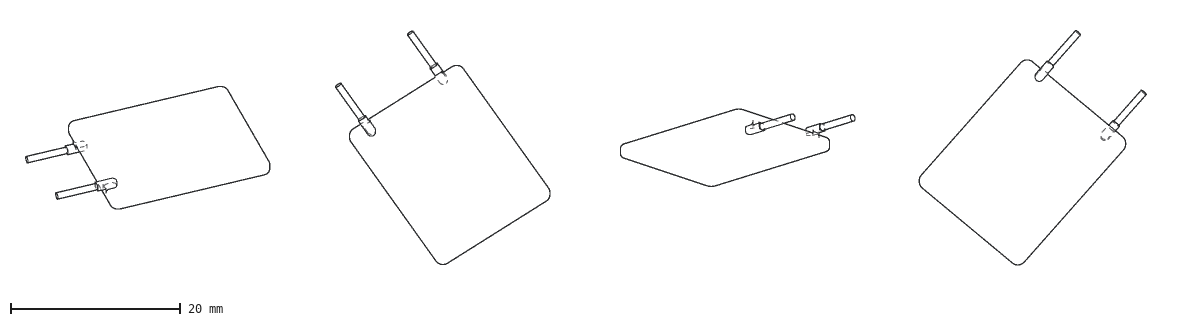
import cadquery as cq

body_width = 16.0
body_length = 20.0
body_thickness = 1.6
body_corner_radius = 1.0
body_edge_radius = 0.5

lead_diameter = 0.8
lead_pitch = 10.2
lead_reach = 6.0

sleeve_width = 1.0
sleeve_edge_radius = 0.2
sleeve_overlap = 1.5
sleeve_reach = 1.0

body_front_y = -body_length / 2
body_top_z = body_thickness / 2
lead_radius = lead_diameter / 2
lead_axis_z = body_top_z + lead_radius
sleeve_height = lead_diameter
sleeve_end_y = body_front_y - sleeve_reach
sleeve_length = sleeve_overlap + sleeve_reach


def make_body():
    slab = cq.Workplane("XY").box(body_width, body_length, body_thickness)
    slab = slab.edges("|Z").fillet(body_corner_radius)
    return slab.faces("<Z or >Z").edges().fillet(body_edge_radius)


def round_ended_bar(start_y, length, bottom_z, height):
    """Bar along +Y with a square end at start_y and a half-round far end."""
    half_width = sleeve_width / 2
    arc_start_y = start_y + length - half_width
    return (
        cq.Workplane("XY", origin=(0, 0, bottom_z))
        .moveTo(-half_width, start_y)
        .lineTo(half_width, start_y)
        .lineTo(half_width, arc_start_y)
        .threePointArc((0, start_y + length), (-half_width, arc_start_y))
        .close()
        .extrude(height)
    )


def make_sleeve():
    """Rounded bar around the lead root, with a foot sunk into the body."""
    bar = round_ended_bar(sleeve_end_y, sleeve_length, body_top_z, sleeve_height)
    bar = bar.faces("<Z or >Z").edges("not(<Y)").fillet(sleeve_edge_radius)
    foot_height = body_top_z + sleeve_edge_radius
    foot = round_ended_bar(body_front_y, sleeve_overlap, 0, foot_height)
    return bar.union(foot)


def make_lead():
    """Round wire from the body edge to the tip, its root inside the sleeve."""
    plane = cq.Workplane("XZ", origin=(0, body_front_y, lead_axis_z))
    return plane.circle(lead_radius).extrude(lead_reach)


def make_terminal():
    """Sleeve and lead on the upper face, at the +X lead position."""
    terminal = make_sleeve().union(make_lead())
    return terminal.translate((lead_pitch / 2, 0, 0))


upper_terminal = make_terminal()
lower_terminal = upper_terminal.rotate((0, 0, 0), (0, 1, 0), 180)

result = make_body().union(upper_terminal).union(lower_terminal)